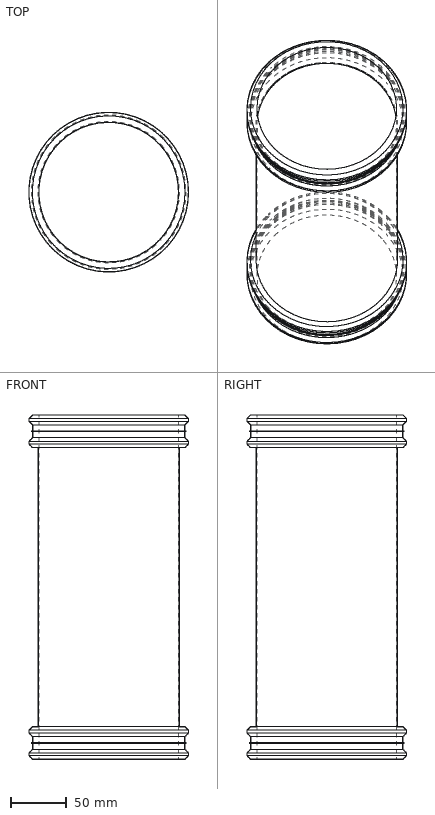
import cadquery as cq

total_length = 308.8
bore_radius = 125.0 / 2
tube_radius = 127.0 / 2

collar_length = 29.3
collar_radius = 136.8 / 2
lip_radius = 143.3 / 2
lip_width = 9.0
lip_bevel = lip_radius - collar_radius
bead_height = 1.0
bead_width = 0.5


def ring(inner_radius, outer_radius, bottom, height):
    """Plain ring around the Z axis, starting at height `bottom`."""
    return (
        cq.Workplane("XY")
        .workplane(offset=bottom)
        .circle(outer_radius)
        .circle(inner_radius)
        .extrude(height)
    )


def lip(bottom):
    """Outward lip, bevelled down to the collar surface on both sides."""
    outline = [
        (bore_radius, bottom),
        (collar_radius, bottom),
        (lip_radius, bottom + lip_bevel),
        (lip_radius, bottom + lip_width - lip_bevel),
        (collar_radius, bottom + lip_width),
        (bore_radius, bottom + lip_width),
    ]
    return cq.Workplane("XZ").polyline(outline).close().revolve(360, (0, 0), (0, 1))


def collar(bottom):
    """End collar with a lip at each end and a bead at its middle."""
    body = ring(bore_radius, collar_radius, bottom, collar_length)
    for lip_bottom in (bottom, bottom + collar_length - lip_width):
        body = body.union(lip(lip_bottom))
    bead_bottom = bottom + (collar_length - bead_width) / 2
    bead = ring(bore_radius, collar_radius + bead_height, bead_bottom, bead_width)
    return body.union(bead)


upper_collar_bottom = total_length - collar_length
tube_wall = ring(bore_radius, tube_radius, 0, upper_collar_bottom)
tube = collar(0).union(tube_wall)

upper_collar = collar(upper_collar_bottom)

result = cq.Compound.makeCompound([tube.val(), upper_collar.val()])